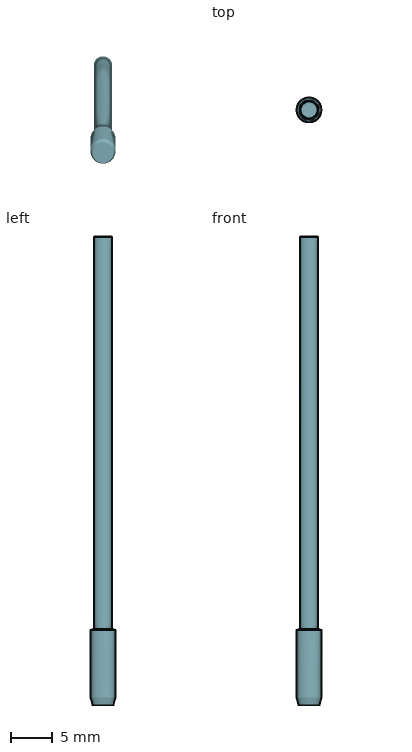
import cadquery as cq

total_length = 56.0

sleeve_diameter = 3.0
sleeve_cylinder_top = 9.0
tip_diameter = 2.5
tip_taper_height = 0.95
shoulder_rise = 0.15

rod_diameter = 2.2
rod_top_chamfer = 0.1

sleeve_radius = sleeve_diameter / 2
tip_radius = tip_diameter / 2
rod_radius = rod_diameter / 2
rod_seat_height = sleeve_cylinder_top + shoulder_rise
rod_length = total_length - rod_seat_height


def make_sleeve():
    """Tapered tip, straight cylinder and a conical shoulder rising to the flat rod seat."""
    half_profile = (
        cq.Workplane("XZ")
        .moveTo(0, 0)
        .lineTo(tip_radius, 0)
        .lineTo(sleeve_radius, tip_taper_height)
        .lineTo(sleeve_radius, sleeve_cylinder_top)
        .lineTo(rod_radius, rod_seat_height)
        .lineTo(0, rod_seat_height)
        .close()
    )
    return half_profile.revolve(360, (0, 0, 0), (0, 1, 0))


def make_rod():
    """Round rod standing on the sleeve seat, with a small chamfer around its free end."""
    return (
        cq.Workplane("XY")
        .workplane(offset=rod_seat_height)
        .circle(rod_radius)
        .extrude(rod_length)
        .faces(">Z")
        .chamfer(rod_top_chamfer)
    )


sleeve = make_sleeve()
rod = make_rod()

result = cq.Compound.makeCompound([sleeve.val(), rod.val()])